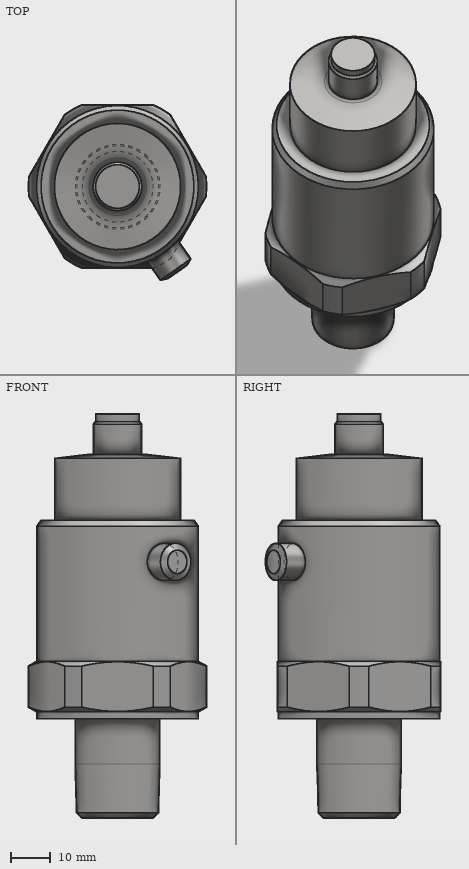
import cadquery as cq
import math

total_height = 101.5
taper_top = 13.7
collar_bottom = 25.0
hex_bottom = 26.7
hex_top = 39.4
shoulder_height = 74.8
cap_edge_height = 90.3
cap_top = 91.4
connector_step = 99.0

body_diameter = 40.6
stem_diameter = 21.3
taper_end_diameter = 20.6
cap_diameter = 31.7
cap_flat_diameter = 14.4
connector_diameter = 12.2
connector_tip_diameter = 11.0

stem_chamfer = 1.4
body_chamfer_width = 1.1
body_chamfer_height = 1.5
connector_chamfer = (connector_diameter - connector_tip_diameter) / 2

across_flats = 41.0
corner_diameter = 44.8
corner_chamfer_angle = 30

pin_height = 64.4
pin_diameter = 9.3
pin_reach = 26.2
pin_chamfer_length = 0.7
pin_face_diameter = 5.9
pin_angle = -55


def revolved(profile):
    """Revolve (radius, height) points, closed along the axis, about Z."""
    return cq.Workplane("XZ").polyline(profile).close().revolve(360, (0, 0), (0, 1))


def turned_body():
    """Stem, collar, body, cap and connector as a single turned shape."""
    body_radius = body_diameter / 2
    stem_radius = stem_diameter / 2
    taper_end_radius = taper_end_diameter / 2
    cap_radius = cap_diameter / 2
    connector_radius = connector_diameter / 2
    tip_radius = connector_tip_diameter / 2
    return revolved([
        (0, 0),
        (taper_end_radius - stem_chamfer, 0),
        (taper_end_radius, stem_chamfer),
        (stem_radius, taper_top),
        (stem_radius, collar_bottom),
        (body_radius, collar_bottom),
        (body_radius, shoulder_height - body_chamfer_height),
        (body_radius - body_chamfer_width, shoulder_height),
        (cap_radius, shoulder_height),
        (cap_radius, cap_edge_height),
        (cap_flat_diameter / 2, cap_top),
        (connector_radius, cap_top),
        (connector_radius, connector_step),
        (tip_radius, connector_step + connector_chamfer),
        (tip_radius, total_height),
        (0, total_height),
    ])


def wrench_hex():
    """Hexagon with rounded corners and conical chamfers at both ends."""
    prism = (
        cq.Workplane("XY", origin=(0, 0, hex_bottom))
        .polygon(6, across_flats, circumscribed=True)
        .extrude(hex_top - hex_bottom)
        .rotate((0, 0, 0), (0, 0, 1), 30)
    )
    end_radius = body_diameter / 2
    corner_radius = corner_diameter / 2
    chamfer_height = (corner_radius - end_radius) * math.tan(math.radians(corner_chamfer_angle))
    envelope = revolved([
        (0, hex_bottom),
        (end_radius, hex_bottom),
        (corner_radius, hex_bottom + chamfer_height),
        (corner_radius, hex_top - chamfer_height),
        (end_radius, hex_top),
        (0, hex_top),
    ])
    return prism.intersect(envelope)


def side_pin():
    """Chamfered round pin running out from the body axis."""
    pin_radius = pin_diameter / 2
    pin = revolved([
        (0, 0),
        (pin_radius, 0),
        (pin_radius, pin_reach - pin_chamfer_length),
        (pin_face_diameter / 2, pin_reach),
        (0, pin_reach),
    ])
    return (
        pin.rotate((0, 0, 0), (0, 1, 0), 90)
        .rotate((0, 0, 0), (0, 0, 1), pin_angle)
        .translate((0, 0, pin_height))
    )


result = turned_body().union(wrench_hex()).union(side_pin())